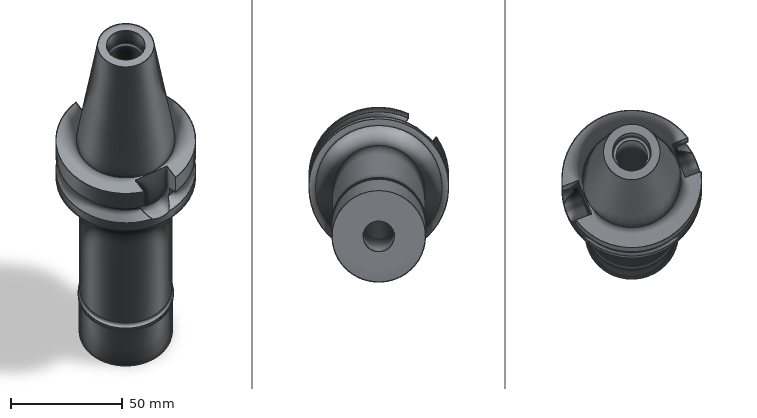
import cadquery as cq

total_length = 200.5
taper_length = 65.3
nose_end = taper_length - total_length

gauge_radius = 22.2
taper_rate = 7 / 24
taper_top_radius = gauge_radius - taper_length * taper_rate / 2

flange_radius = 31.5
groove_radius = 26.5
flange_top = -1.2
upper_rim_bottom = -11.5
groove_top = -14.5
groove_bottom = -18.8
lower_rim_top = -21.8
flange_bottom = -27.0

barrel_radius = 20.8
cone_height = 7.6
cone_bottom = flange_bottom - cone_height
cone_top_radius = barrel_radius + cone_height
barrel_bottom = -105.0

neck_radius = 17.5

nut_radius = 21.0
collar_radius = 21.5
nut_top = -108.0
collar_height = 1.8
collar_bottom = nut_top - collar_height

slot_width = 16.5
slot_floor_x = 22.6
slot_bottom = -23.0

bore_radius = 7.0
counterbore_radius = 8.6
counterbore_depth = 9.0


def revolve_outline(points):
    """Solid of revolution about Z from (radius, height) points."""
    return cq.Workplane("XZ").polyline(points).close().revolve(360, (0, 0), (0, 1))


def make_drive_slot(side):
    """Cutter for one drive slot; side is -1 for -X and +1 for +X."""
    slot_radius = slot_width / 2
    arc_center = slot_bottom + slot_radius
    return (
        cq.Workplane("YZ", origin=(side * slot_floor_x, 0, 0))
        .moveTo(-slot_radius, 0)
        .lineTo(-slot_radius, arc_center)
        .threePointArc((0, slot_bottom), (slot_radius, arc_center))
        .lineTo(slot_radius, 0)
        .close()
        .extrude(side * flange_radius)
    )


def make_bore():
    """Cutter for the through bore and the counterbore at the taper end."""
    counterbore_floor = taper_length - counterbore_depth
    return revolve_outline([
        (0, nose_end),
        (bore_radius, nose_end),
        (bore_radius, counterbore_floor),
        (counterbore_radius, counterbore_floor),
        (counterbore_radius, taper_length),
        (0, taper_length),
    ])


def make_holder():
    """Taper, flange, barrel and neck as one turned body with two drive slots."""
    holder = revolve_outline([
        (0, taper_length),
        (taper_top_radius, taper_length),
        (gauge_radius, 0),
        (gauge_radius, flange_top),
        (flange_radius, flange_top),
        (flange_radius, upper_rim_bottom),
        (groove_radius, groove_top),
        (groove_radius, groove_bottom),
        (flange_radius, lower_rim_top),
        (flange_radius, flange_bottom),
        (cone_top_radius, flange_bottom),
        (barrel_radius, cone_bottom),
        (barrel_radius, barrel_bottom),
        (neck_radius, barrel_bottom),
        (neck_radius, nut_top),
        (0, nut_top),
    ])
    for side in (-1, 1):
        holder = holder.cut(make_drive_slot(side))
    return holder.cut(make_bore())


def make_nut():
    """Clamping nut that meets the end of the neck."""
    nut = revolve_outline([
        (0, nut_top),
        (collar_radius, nut_top),
        (collar_radius, collar_bottom),
        (nut_radius, collar_bottom),
        (nut_radius, nose_end),
        (0, nose_end),
    ])
    return nut.cut(make_bore())


holder = make_holder()
nut = make_nut()
result = cq.Compound.makeCompound([holder.val(), nut.val()])